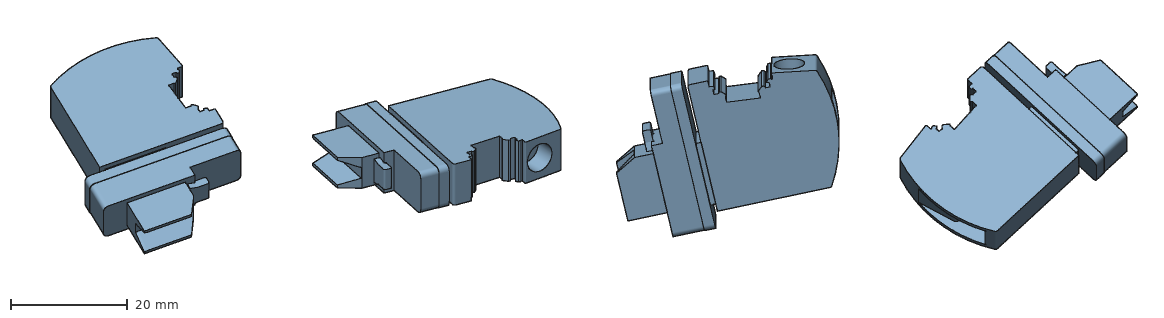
import cadquery as cq
import math

TOTAL_LENGTH = 39.1
FLANGE_LENGTH = 27.0
THICKNESS = 8.1
CORE_THICKNESS = 6.02

BODY_END_X = 23.65
BODY_BOTTOM_Y = -10.25
BODY_TOP_Y = 13.25
NOSE_RADIUS = 24.65
NOSE_CENTER_Y = 2.62
SHOULDER_Y = 11.05
ENTRY_END = (9.15, 12.28)
SHELF_START_X = 20.1
NOSE_BOTTOM_ROUND = 0.45
NOSE_TOP_ROUND = 0.45
BLOCK_ROUND = 0.45
SMALL_ROUND = 0.2

ENTRY_HOLE_DIAMETER = 5.28
ENTRY_HOLE_DEPTH = 3.9
ENTRY_HOLE_FRACTION = 0.6

WINDOW_TOP_Y = 5.1
WINDOW_BOTTOM_Y = -8.8
WINDOW_OUTSIDE_X = -0.4
LEVER_ROUND = 0.85

NECK_TOP_Y = 2.23
NECK_BOTTOM_Y = -9.25
NECK_ROUND = 0.25

FLANGE_X = 24.65
FLANGE_WIDTH = 1.95
FLANGE_ROUND = 1.05
HOUSING_X = FLANGE_X + FLANGE_WIDTH
HOUSING_INSET = 0.08
HOUSING_STEP_X = 30.15
HOUSING_STEP_Y = 3.85
HOUSING_END_X = 32.1

HOOK_LEFT_X = 31.75
HOOK_RIGHT_X = 33.25
HOOK_TOP_Y = 6.05
HOOK_BOTTOM_Y = 2.4
HOOK_THICKNESS = 3.9
HOOK_ROOT_THICKNESS = 4.7
HOOK_ROUND = 0.3
HOOK_FOOT_ROUND = 0.15

BLADE_TOP_Y = 2.05
BLADE_BOTTOM_Y = -9.0
BLADE_SLOPE_X = 35.45
BLADE_TIP_Y = -0.08
NOTCH_X = 35.55
NOTCH_ROOT_WIDTH = 2.07
NOTCH_MOUTH_WIDTH = 4.85
NOTCH_FLARE_DEPTH = 0.55
NOTCH_FLARE = 0.1


def nose_x(y):
    """X of the curved nose at height y."""
    return NOSE_RADIUS - math.sqrt(NOSE_RADIUS**2 - (y - NOSE_CENTER_Y) ** 2)


def extrude_z(profile, thickness):
    """Extrude an XY profile symmetrically about z = 0."""
    return profile.extrude(thickness / 2, both=True)


def block(x0, x1, y0, y1, thickness):
    """Box between two X and two Y limits, centred on z = 0."""
    profile = cq.Workplane("XY").moveTo((x0 + x1) / 2, (y0 + y1) / 2).rect(x1 - x0, y1 - y0)
    return extrude_z(profile, thickness)


def round_upright(solid, point, radius):
    """Round the Z-parallel edge that stands at an XY point."""
    return solid.edges("|Z").edges(cq.NearestToPointSelector((*point, 0))).fillet(radius)


def make_body():
    """Curved-nose body with a stepped rail recess between two jaws."""
    bottom_left = (nose_x(BODY_BOTTOM_Y), BODY_BOTTOM_Y)
    shoulder = (nose_x(SHOULDER_Y), SHOULDER_Y)
    left_jaw = [
        (9.15, 11.22), (9.35, 11.15), (9.5, 11.3), (9.95, 11.3),
        (10.3, 10.8), (9.9, 10.6), (9.9, 9.85),
        (10.67, 9.85), (10.9, 10.25), (11.3, 10.25),
        (12.12, 9.45), (11.95, 9.3), (11.95, 8.25),
    ]
    right_jaw = [
        (17.8, 8.75), (17.8, 9.7), (17.6, 9.9), (17.6, 10.13),
        (18.3, 10.85), (18.57, 10.85), (18.75, 10.6), (19.6, 10.6),
        (19.6, 11.4), (19.25, 11.45), (19.35, 12.1), (SHELF_START_X, 12.15),
    ]
    block_left = (SHELF_START_X, BODY_TOP_Y)
    block_right = (BODY_END_X, BODY_TOP_Y)
    profile = (
        cq.Workplane("XY")
        .moveTo(*bottom_left)
        .threePointArc((0, NOSE_CENTER_Y), shoulder)
        .lineTo(*ENTRY_END)
    )
    for point in left_jaw + right_jaw + [block_left, block_right]:
        profile = profile.lineTo(*point)
    profile = profile.lineTo(BODY_END_X, BODY_BOTTOM_Y).close()
    body = extrude_z(profile, THICKNESS)
    body = round_upright(body, bottom_left, NOSE_BOTTOM_ROUND)
    body = round_upright(body, shoulder, NOSE_TOP_ROUND)
    body = round_upright(body, block_right, BLOCK_ROUND)
    for corner in (ENTRY_END, block_left):
        body = round_upright(body, corner, SMALL_ROUND)
    return body


def make_lever_window():
    """Pocket in the nose whose floor forms the stepped lever."""
    lever_tip = (2.05, -2.0)
    window_edge = (nose_x(WINDOW_BOTTOM_Y), WINDOW_BOTTOM_Y)
    lever_heel = (3.6, -2.65)
    floor_start = (4.57, -2.65)
    floor_end = (5.47, -6.4)
    lip_start = (2.97, -8.17)
    lip_middle = (2.75, -8.45)
    profile = (
        cq.Workplane("XY")
        .moveTo(nose_x(WINDOW_TOP_Y), WINDOW_TOP_Y)
        .lineTo(*lever_tip)
        .lineTo(*lever_heel)
        .lineTo(*floor_start)
        .lineTo(*floor_end)
        .lineTo(*lip_start)
        .threePointArc(lip_middle, window_edge)
        .lineTo(WINDOW_OUTSIDE_X, WINDOW_BOTTOM_Y)
        .lineTo(WINDOW_OUTSIDE_X, WINDOW_TOP_Y)
        .close()
    )
    pocket = extrude_z(profile, CORE_THICKNESS)
    return round_upright(pocket, lever_tip, LEVER_ROUND)


def make_entry_hole():
    start = (nose_x(SHOULDER_Y), SHOULDER_Y)
    run = ENTRY_END[0] - start[0]
    rise = ENTRY_END[1] - start[1]
    center = cq.Vector(
        start[0] + ENTRY_HOLE_FRACTION * run,
        start[1] + ENTRY_HOLE_FRACTION * rise,
        0,
    )
    inward = cq.Vector(rise, -run, 0)
    hole = cq.Solid.makeCylinder(ENTRY_HOLE_DIAMETER / 2, ENTRY_HOLE_DEPTH, center, inward)
    return cq.Workplane(obj=hole)


def make_neck():
    """Short bridge from the body to the flange."""
    neck = block(BODY_END_X, FLANGE_X, NECK_BOTTOM_Y, NECK_TOP_Y, CORE_THICKNESS)
    return neck.faces(">X").edges("|Z").fillet(NECK_ROUND)


def rounded_slab(x0, x1, inset):
    """Flange-shaped slab across X, drawn in by an inset all round."""
    half_length = FLANGE_LENGTH / 2 - inset
    slab = block(x0, x1, -half_length, half_length, THICKNESS - 2 * inset)
    return slab.edges("|X").fillet(FLANGE_ROUND - inset)


def make_housing():
    housing = rounded_slab(HOUSING_X, HOUSING_END_X, HOUSING_INSET)
    step = block(HOUSING_STEP_X, HOUSING_END_X, HOUSING_STEP_Y, FLANGE_LENGTH / 2, THICKNESS)
    return housing.cut(step)


def make_hook():
    """Upright latch tab on a root that widens towards the blade."""
    tab = block(HOOK_LEFT_X, HOOK_RIGHT_X, HOUSING_STEP_Y, HOOK_TOP_Y, HOOK_THICKNESS)
    tab = tab.faces(">Y").edges("|Z").fillet(HOOK_ROUND)
    root = (
        cq.Workplane("YZ", origin=(HOOK_LEFT_X, 0, 0))
        .polyline([
            (HOOK_BOTTOM_Y, -HOOK_ROOT_THICKNESS / 2),
            (HOUSING_STEP_Y, -HOOK_THICKNESS / 2),
            (HOUSING_STEP_Y, HOOK_THICKNESS / 2),
            (HOOK_BOTTOM_Y, HOOK_ROOT_THICKNESS / 2),
        ])
        .close()
        .extrude(HOOK_RIGHT_X - HOOK_LEFT_X)
    )
    return tab.union(root)


def notch_profile(y, widening):
    """Blade notch outline in the XZ plane at y, each side moved out by a widening."""
    half_root = NOTCH_ROOT_WIDTH / 2 + widening
    half_mouth = NOTCH_MOUTH_WIDTH / 2 + widening
    return cq.Workplane("XZ", origin=(0, y, 0)).polyline([
        (NOTCH_X, -half_root),
        (TOTAL_LENGTH, -half_mouth),
        (TOTAL_LENGTH, half_mouth),
        (NOTCH_X, half_root),
    ]).close()


def make_blade():
    profile = cq.Workplane("XY").polyline([
        (HOUSING_END_X, BLADE_BOTTOM_Y),
        (TOTAL_LENGTH, BLADE_BOTTOM_Y),
        (TOTAL_LENGTH, BLADE_TIP_Y),
        (BLADE_SLOPE_X, BLADE_TOP_Y),
        (HOUSING_END_X, BLADE_TOP_Y),
    ]).close()
    flare_start_y = BLADE_BOTTOM_Y + NOTCH_FLARE_DEPTH
    notch = notch_profile(BLADE_TOP_Y, 0).extrude(BLADE_TOP_Y - BLADE_BOTTOM_Y)
    flare = cq.Workplane(obj=cq.Solid.makeLoft([
        notch_profile(flare_start_y, 0).val(),
        notch_profile(BLADE_BOTTOM_Y, NOTCH_FLARE).val(),
    ], True))
    return extrude_z(profile, CORE_THICKNESS).cut(notch).cut(flare)


body = make_body().cut(make_lever_window()).cut(make_entry_hole())
result = (
    body.union(make_neck())
    .union(rounded_slab(FLANGE_X, HOUSING_X, 0))
    .union(make_housing())
    .union(make_hook())
    .union(make_blade())
)
result = round_upright(result, (HOOK_LEFT_X, HOUSING_STEP_Y), HOOK_FOOT_ROUND)